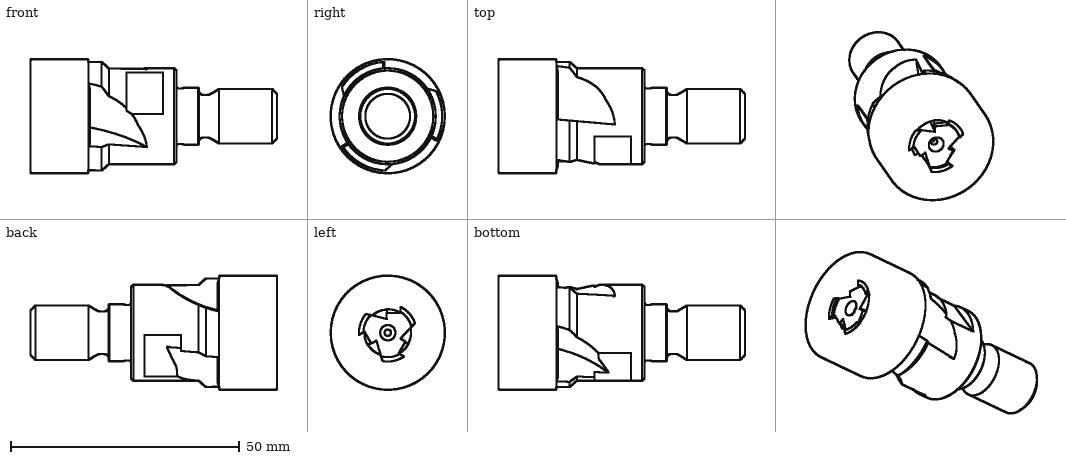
import cadquery as cq
import math

length = 54.0

head_radius = 12.55
head_edge = 0.3
head_shoulder = 12.7
head_end = 13.0
head_end_radius = 10.8
dish_radius = 9.4
throat_radius = 5.1
dish_rounding = dish_radius - throat_radius

collar_radius = 11.95
collar_end = 15.6
body_start = 17.15
body_radius = 10.55
body_end = 32.0
body_chamfer = 0.55

relief_radius = 6.1
relief_fillet = 0.4
relief_end = 33.15
land_radius = 6.25
land_start = 33.7
land_end = 36.95
land_edge = 0.2
neck_radius = 4.7
neck_wall_radius = 5.25
neck_start = 37.95
neck_end = 39.1
neck_blend = 1.1
cone_setback = 0.25
pin_radius = 6.0
pin_start = 41.3
pin_chamfer = 1.1

core_face = 1.9
core_radius = 5.35
rim_face = 1.3
rim_radius = 6.5
center_mouth_radius = 1.7
center_bore_radius = 0.7
center_bore_end = 5.4
center_half_angle = 30.0

flute_count = 3
flute_spacing = 360 / flute_count
wall_offset = 0.45
wall_angle = 5.0
floor_height = 3.0
runout_start = 7.3
runout_radius = 26.45
flute_top = 14.05
inner_floor_width = 5.15
inner_floor_rise = 1.25
outer_floor_width = 8.65
outer_floor_drop = 0.2

jaw_relief_width = 3.2
jaw_relief_height = 4.3
jaw_relief_end = 3.5

flat_start = 21.05
flat_end = 29.05
flat_distance = 9.0
flat_angle = 146.0
flat_count = 2
flat_spacing = 360 / flat_count


def revolve_about_x(outline):
    """Turn a closed XY outline about the X axis."""
    return outline.revolve(360, (0, 0, 0), (1, 0, 0))


def turn(shape, angle):
    """Rotate a shape about the part's axis."""
    return shape.rotate((0, 0, 0), (1, 0, 0), angle)


def head_ring():
    """Ring with a rounded dish in front that narrows to a straight throat."""
    return revolve_about_x(
        cq.Workplane("XY")
        .moveTo(dish_rounding, throat_radius)
        .radiusArc((0, dish_radius), dish_rounding)
        .lineTo(0, head_radius - head_edge)
        .radiusArc((head_edge, head_radius), head_edge)
        .lineTo(head_shoulder - head_edge, head_radius)
        .radiusArc((head_shoulder, head_radius - head_edge), head_edge)
        .lineTo(head_shoulder, collar_radius)
        .lineTo(head_end, head_end_radius)
        .lineTo(head_end, throat_radius)
        .close()
    )


def cutter_body():
    """Core with its raised front rim, collar, body and shank, before the flutes are cut."""
    cone_angle = math.atan2(pin_radius - neck_radius, pin_start - neck_end)
    cone_blend = cone_setback / math.tan(cone_angle / 2)
    cone_point = (
        neck_end + cone_setback * math.cos(cone_angle),
        neck_radius + cone_setback * math.sin(cone_angle),
    )
    return revolve_about_x(
        cq.Workplane("XY")
        .moveTo(core_face, 0)
        .lineTo(core_face, core_radius)
        .lineTo(rim_face, core_radius)
        .lineTo(rim_face, rim_radius)
        .lineTo(head_shoulder, rim_radius)
        .lineTo(head_shoulder, collar_radius)
        .lineTo(collar_end, collar_radius)
        .lineTo(body_start, body_radius)
        .lineTo(body_end - body_chamfer, body_radius)
        .lineTo(body_end, body_radius - body_chamfer)
        .lineTo(body_end, relief_radius + relief_fillet)
        .radiusArc((body_end + relief_fillet, relief_radius), -relief_fillet)
        .lineTo(relief_end, relief_radius)
        .lineTo(land_start, land_radius)
        .lineTo(land_end - land_edge, land_radius)
        .lineTo(land_end, land_radius - land_edge)
        .lineTo(land_end, neck_wall_radius)
        .radiusArc((neck_start, neck_radius), -neck_blend)
        .lineTo(neck_end - cone_setback, neck_radius)
        .radiusArc(cone_point, -cone_blend)
        .lineTo(pin_start, pin_radius)
        .lineTo(length - pin_chamfer, pin_radius)
        .lineTo(length, pin_radius - pin_chamfer)
        .lineTo(length, 0)
        .close()
    )


def flute_cutter():
    """Cutter for the upper flute: a flat slanted wall and a two-slope floor running out in an arc."""
    runout_angle = math.acos(1 - (flute_top - floor_height) / runout_radius)
    runout_end = runout_start + runout_radius * math.sin(runout_angle)
    runout_middle = (
        runout_start + runout_radius * math.sin(runout_angle / 2),
        floor_height + runout_radius * (1 - math.cos(runout_angle / 2)),
    )
    wall_outline = (
        cq.Workplane("XZ")
        .moveTo(0, flute_top)
        .lineTo(0, floor_height)
        .lineTo(runout_start, floor_height)
        .threePointArc(runout_middle, (runout_end, flute_top))
        .close()
    )
    wall = cq.Face.makeFromWires(wall_outline.val())
    wall = wall.rotate(cq.Vector(0, 0, 0), cq.Vector(0, 0, 1), -wall_angle)
    wall = wall.translate(cq.Vector(0, wall_offset, 0))
    rise = cq.Vector(0, inner_floor_width, inner_floor_rise)
    drop = cq.Vector(0, outer_floor_width, -outer_floor_drop)
    inner = cq.Solid.extrudeLinear(wall, rise)
    outer = cq.Solid.extrudeLinear(wall.translate(rise), drop)
    return cq.Workplane(inner).union(cq.Workplane(outer))


def jaw_relief():
    """Block that lowers the crown of the upper jaw beside the flute wall."""
    return cq.Workplane("XY").box(
        jaw_relief_end, jaw_relief_width, rim_radius, centered=False
    ).translate((0, wall_offset - jaw_relief_width, jaw_relief_height))


def wrench_flat():
    """Block that leaves a flat facing +Y before it is turned into place."""
    return cq.Workplane("XY").box(
        flat_end - flat_start, body_radius, 2 * body_radius, centered=(False, False, True)
    ).translate((flat_start, flat_distance, 0))


def center_hole():
    """Countersunk blind hole in the core face."""
    cone_depth = (center_mouth_radius - center_bore_radius) / math.tan(math.radians(center_half_angle))
    return revolve_about_x(
        cq.Workplane("XY")
        .moveTo(core_face, 0)
        .lineTo(core_face, center_mouth_radius)
        .lineTo(core_face + cone_depth, center_bore_radius)
        .lineTo(center_bore_end, center_bore_radius)
        .lineTo(center_bore_end, 0)
        .close()
    )


cutter = cutter_body().cut(center_hole())
for index in range(flute_count):
    cutter = cutter.cut(turn(flute_cutter(), index * flute_spacing))
    cutter = cutter.cut(turn(jaw_relief(), index * flute_spacing))
for index in range(flat_count):
    cutter = cutter.cut(turn(wrench_flat(), flat_angle + index * flat_spacing))

result = cutter.union(head_ring())